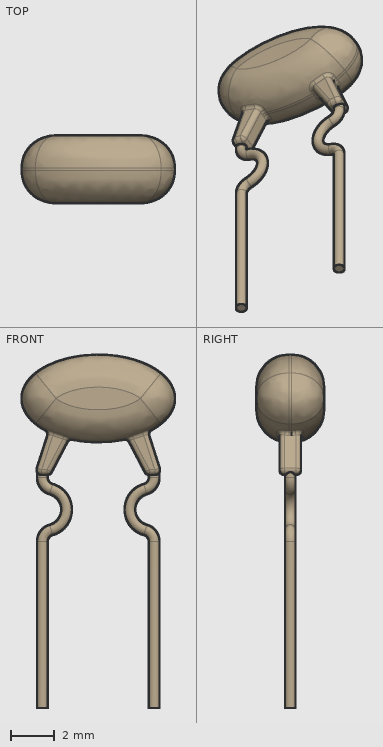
import cadquery as cq
import math

total_height = 16.1
body_length = 7.0
body_height = 4.01
body_thickness = 3.1
half_band = 0.06

half_length = body_length / 2
half_height = body_height / 2
half_thickness = body_thickness / 2
body_center_z = total_height - half_height
edge_radius = half_thickness - half_band

aspect = half_height / half_length
seam_cos = math.sqrt((1 - (edge_radius / half_height) ** 2) / (1 - aspect**2))
seam_angle = math.acos(seam_cos)
cap_point_x = half_length * (1 - aspect**2) * seam_cos

cap_rows = 4
cap_steps = 6

wire_radius = 0.25
wire_x = 2.55
pin_top_z = 7.58
kink_height = 2.91
bend_radius = 0.55
loop_radius = 0.97

neck_bottom_z = 10.61
neck_top_z = 12.88
neck_bottom_width = 0.72
neck_top_outer_x = 2.17
neck_top_inner_x = 1.0
neck_thickness = 1.0
neck_rounding = 0.24
neck_root_fillet = 0.2
touch_tolerance = 0.0002


def rim_arc(start, end, y):
    """Piece of the elliptical rim between two angles, centered on the origin."""
    return cq.Edge.makeEllipse(
        half_length,
        half_height,
        pnt=(0, y, 0),
        dir=(0, -1, 0),
        xdir=(1, 0, 0),
        angle1=math.degrees(start),
        angle2=math.degrees(end),
    )


def cap_surface_point(angle, tilt):
    """Point on the front of the right cap: tilt runs from the rim (0) to the cap point (pi / 2)."""
    rim_x = half_length * math.cos(angle)
    rim_z = half_height * math.sin(angle)
    return cq.Vector(
        cap_point_x + (rim_x - cap_point_x) * math.cos(tilt),
        -half_band - edge_radius * math.sin(tilt),
        rim_z * math.cos(tilt),
    )


def seam_arc(angle):
    """Quarter circle from the rim to the cap point, where cap and flank meet."""
    tilts = (0, math.pi / 4, math.pi / 2)
    return cq.Edge.makeThreePointArc(*[cap_surface_point(angle, tilt) for tilt in tilts])


def seam_face(angle):
    """Flat side of the right cap, facing a flank."""
    arc = seam_arc(angle)
    back_arc = arc.mirror("XZ")
    rim_line = cq.Edge.makeLine(arc.startPoint(), back_arc.startPoint())
    inner_line = cq.Edge.makeLine(arc.endPoint(), back_arc.endPoint())
    return cq.Face.makeFromWires(cq.Wire.assembleEdges([arc, inner_line, back_arc, rim_line]))


def end_cap():
    """Right end of the body, a dome on either side of the parting band."""
    inner_points = [
        cap_surface_point(seam_angle * row / cap_rows, math.pi / 2 * step / cap_steps)
        for row in range(1 - cap_rows, cap_rows)
        for step in range(1, cap_steps)
    ]
    front_rim = rim_arc(-seam_angle, seam_angle, -half_band)
    back_rim = rim_arc(-seam_angle, seam_angle, half_band)
    dome_edges = [front_rim, seam_arc(seam_angle), seam_arc(-seam_angle)]
    dome = cq.Face.makeNSidedSurface(dome_edges, inner_points)
    band = cq.Face.makeRuledSurface(front_rim, back_rim)
    faces = [dome, dome.mirror("XZ"), band, seam_face(seam_angle), seam_face(-seam_angle)]
    return cq.Workplane(cq.Solid.makeSolid(cq.Shell.makeShell(faces)))


def upper_flank():
    """Upper part of the body between the two end caps."""
    arc = rim_arc(seam_angle, math.pi - seam_angle, -half_thickness)
    right = cq.Vector(cap_point_x, -half_thickness, 0)
    left = cq.Vector(-cap_point_x, -half_thickness, 0)
    outline = cq.Wire.assembleEdges([
        arc,
        cq.Edge.makeLine(arc.endPoint(), left),
        cq.Edge.makeLine(left, right),
        cq.Edge.makeLine(right, arc.startPoint()),
    ])
    block = cq.Workplane(cq.Solid.extrudeLinear(outline, [], cq.Vector(0, body_thickness, 0)))
    return block.faces(">Z").edges(">Y or <Y").fillet(edge_radius)


def make_body():
    """Whole pill: two flanks and two end caps."""
    cap = end_cap()
    flank = upper_flank()
    body = flank.union(flank.mirror("XY"))
    body = body.union(cap).union(cap.mirror("YZ"))
    return body.translate((0, 0, body_center_z))


def make_lead():
    """Right-hand lead, bent in the XZ plane and ending inside the neck."""
    bend_x = wire_x - bend_radius
    centers_distance = bend_radius + loop_radius
    half_kink = kink_height / 2
    kink_z = pin_top_z + half_kink
    loop_x = bend_x + math.sqrt(centers_distance**2 - half_kink**2)
    bend_angle = math.asin(half_kink / centers_distance)
    join_x = bend_x + (loop_x - bend_x) * bend_radius / centers_distance
    join_rise = half_kink * loop_radius / centers_distance
    bend_mid_x = bend_x + bend_radius * math.cos(bend_angle / 2)
    bend_mid_rise = half_kink - bend_radius * math.sin(bend_angle / 2)
    path = (
        cq.Workplane("XZ")
        .moveTo(wire_x, 0)
        .lineTo(wire_x, pin_top_z)
        .threePointArc((bend_mid_x, kink_z - bend_mid_rise), (join_x, kink_z - join_rise))
        .threePointArc((loop_x - loop_radius, kink_z), (join_x, kink_z + join_rise))
        .threePointArc((bend_mid_x, kink_z + bend_mid_rise), (wire_x, pin_top_z + kink_height))
        .lineTo(wire_x, neck_bottom_z + neck_rounding)
    )
    return cq.Workplane("XY").center(wire_x, 0).circle(wire_radius).sweep(path)


def make_neck():
    """Right-hand neck, tapered in width and rounded along its sides and lower end."""
    half_width = neck_bottom_width / 2
    neck = (
        cq.Workplane("XZ")
        .moveTo(wire_x - half_width, neck_bottom_z)
        .lineTo(wire_x + half_width, neck_bottom_z)
        .lineTo(neck_top_outer_x, neck_top_z)
        .lineTo(neck_top_inner_x, neck_top_z)
        .close()
        .extrude(neck_thickness / 2, both=True)
    )
    return neck.edges("not >Z").fillet(neck_rounding)


def lies_on_skin(solid, point):
    """True if the point is on the outer surface of the solid."""
    return cq.Vertex.makeVertex(*point.toTuple()).distance(solid.Shells()[0]) < touch_tolerance


def join_necks(body, neck):
    """Add both necks to the body and blend their roots into it."""
    mirrored_neck = neck.mirror("YZ")
    joined = body.union(neck).union(mirrored_neck)
    root_edges = []
    for edge in joined.edges().vals():
        middle = edge.positionAt(0.5)
        on_neck = any(lies_on_skin(part.val(), middle) for part in (neck, mirrored_neck))
        if on_neck and lies_on_skin(body.val(), middle):
            root_edges.append(edge)
    return joined.newObject(root_edges).fillet(neck_root_fillet)


coated_body = join_necks(make_body(), make_neck())
lead = make_lead()
result = coated_body.union(lead).union(lead.mirror("YZ"))